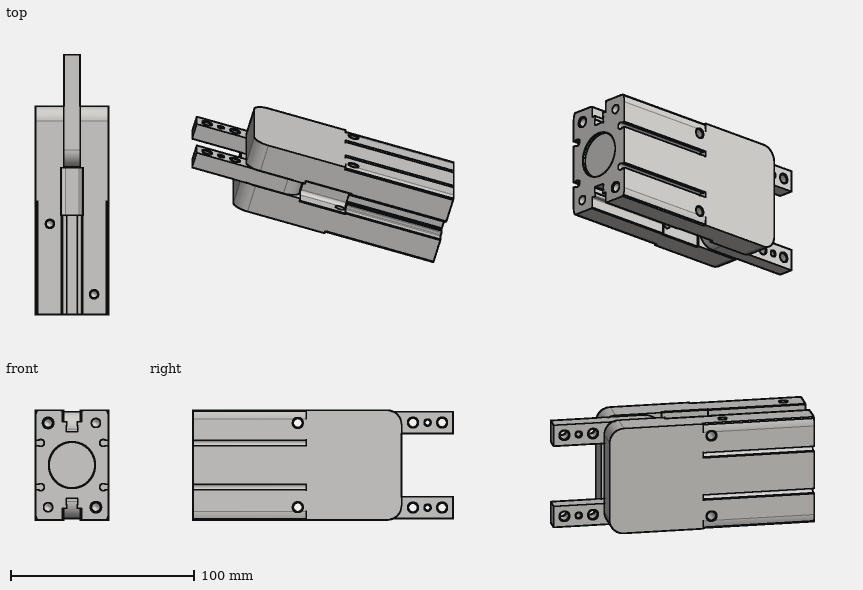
import cadquery as cq
import math


width = 40.0
height = 60.0
housing_length = 113.7
nose_radius = 8.0
half_width = width / 2
half_height = height / 2

rear_length = 61.7
side_curve_height = 4.7
edge_chamfer_height = 0.7
edge_chamfer_inset = 1.4
side_curve_inset = 0.7

sensor_slot_z = 12.0
sensor_slot_mouth = 3.0
sensor_slot_bore = 3.8
sensor_slot_bore_depth = 3.0

groove_width = 10.6
groove_shoulder_z = 23.7
groove_neck_width = 5.7
groove_neck_z = 21.5
groove_floor_width = 6.5
groove_floor_z = 18.2
groove_edge_chamfer = 0.4
groove_floor_chamfer = 0.4
groove_corner_radius = 0.4

pocket_start = 54.2
pocket_end = 80.1
pocket_width = 11.6
pocket_floor_z = 17.7
pocket_floor_radius = 2.3
pocket_chamfer = 0.4

hole_chamfer = 0.4
screw_diameter = 5.0
port_diameter = 4.1
dowel_diameter = 3.0
drill_point_angle = 118
end_hole_x = 13.0
end_hole_depth = 7.1
end_hole_chamfer = 0.5
hole_z = 23.0
side_hole_y = 57.1
port_x = 12.0
port_depth = 8.5
port_chamfer = 0.35
rear_port_y = 11.0
front_port_y = 49.5

cover_diameter = 25.0
cover_depth = 1.7
cover_chamfer = 0.3

finger_tip_y = 141.8
finger_heel_y = 80.5
finger_thickness = 9.0
finger_top_z = 29.2
finger_bottom_z = 17.2
finger_heel_radius = 9.4
finger_screw_inset = 6.0
finger_hole_pitch = 8.0


def drill(diameter, depth, start, direction, chamfer=0):
    """Blind hole with a conical bottom, from the start point along a direction in the YZ plane."""
    radius = diameter / 2
    point = radius / math.tan(math.radians(drill_point_angle / 2))
    outline = [(0, 0), (radius + chamfer, 0)]
    if chamfer:
        outline.append((radius, chamfer))
    outline += [(radius, depth), (0, depth + point)]
    across = cq.Vector(1, 0, 0)
    plane = cq.Plane(start, xDir=across, normal=across.cross(cq.Vector(*direction)))
    return cq.Workplane(plane).polyline(outline).close().revolve(360, (0, 0), (0, 1))


def through_hole_x(diameter, length, y, z):
    """Hole along X, centred on X = 0, chamfered at both ends of the given length."""
    radius = diameter / 2
    mouth = radius + hole_chamfer
    end = length / 2
    outline = [
        (0, -end),
        (mouth, -end),
        (radius, hole_chamfer - end),
        (radius, end - hole_chamfer),
        (mouth, end),
        (0, end),
    ]
    plane = cq.Plane((0, y, z), xDir=(0, 1, 0), normal=(0, 0, -1))
    return cq.Workplane(plane).polyline(outline).close().revolve(360, (0, 0), (0, 1))


def mirrored_z(shape):
    """The shape and its mirror image below Z = 0."""
    return shape, shape.mirror("XY")


def along_y(start):
    """XZ workplane at Y = start; a negative extrusion runs toward +Y."""
    return cq.Workplane("XZ", origin=(0, start, 0))


def edge_relief():
    """Material removed from the long edge at +X, +Z of the rear part."""
    curve_bottom = half_height - side_curve_height
    curve_top = half_height - edge_chamfer_height
    curve_rise = curve_top - curve_bottom
    tangent_radius = (curve_rise**2 + side_curve_inset**2) / (2 * side_curve_inset)
    return (
        along_y(0)
        .moveTo(half_width, curve_bottom)
        .radiusArc((half_width - side_curve_inset, curve_top), -tangent_radius)
        .lineTo(half_width - edge_chamfer_inset, half_height)
        .lineTo(half_width, half_height)
        .close()
        .extrude(-rear_length)
    )


def sensor_slot():
    """Keyhole slot in the +X side at positive Z."""
    bore_x = half_width - sensor_slot_bore_depth
    bore = along_y(0).center(bore_x, sensor_slot_z).circle(sensor_slot_bore / 2).extrude(-rear_length)
    mouth = (
        along_y(0)
        .center(half_width - sensor_slot_bore_depth / 2, sensor_slot_z)
        .rect(sensor_slot_bore_depth, sensor_slot_mouth)
        .extrude(-rear_length)
    )
    return bore.union(mouth)


def t_groove():
    """T groove in the top face, from the rear face to the pocket."""
    wall = groove_width / 2
    neck = groove_neck_width / 2
    floor = groove_floor_width / 2
    half = (
        along_y(0)
        .moveTo(0, half_height)
        .lineTo(wall + groove_edge_chamfer, half_height)
        .lineTo(wall, half_height - groove_edge_chamfer)
        .lineTo(wall, groove_shoulder_z + groove_corner_radius)
        .radiusArc((wall - groove_corner_radius, groove_shoulder_z), groove_corner_radius)
        .lineTo(neck + groove_corner_radius, groove_shoulder_z)
        .radiusArc((neck, groove_shoulder_z - groove_corner_radius), -groove_corner_radius)
        .lineTo(neck, groove_neck_z)
        .lineTo(floor, groove_neck_z)
        .lineTo(floor, groove_floor_z + groove_floor_chamfer)
        .lineTo(floor - groove_floor_chamfer, groove_floor_z)
        .lineTo(0, groove_floor_z)
        .close()
        .extrude(-pocket_start)
    )
    return half.union(half.mirror("YZ"))


def pocket():
    """Round-bottomed pocket in the top face, from the T groove to the finger slot."""
    wall = pocket_width / 2
    outline = [
        (-wall, pocket_floor_z),
        (wall, pocket_floor_z),
        (wall, half_height - pocket_chamfer),
        (wall + pocket_chamfer, half_height),
        (-wall - pocket_chamfer, half_height),
        (-wall, half_height - pocket_chamfer),
    ]
    return (
        along_y(pocket_start)
        .polyline(outline)
        .close()
        .extrude(pocket_start - pocket_end)
        .edges("|Y and <Z")
        .fillet(pocket_floor_radius)
    )


def cover_recess():
    """Shallow round recess with a chamfered mouth in the rear face."""
    radius = cover_diameter / 2
    outline = [
        (0, 0),
        (radius + cover_chamfer, 0),
        (radius, cover_chamfer),
        (radius, cover_depth),
        (0, cover_depth),
    ]
    return cq.Workplane("XY").polyline(outline).close().revolve(360, (0, 0), (0, 1))


def make_housing():
    body = (
        cq.Workplane("XY")
        .box(width, housing_length, height, centered=(True, False, True))
        .edges("|X and >Y")
        .fillet(nose_radius)
    )

    for cutter in (edge_relief(), sensor_slot()):
        for half in mirrored_z(cutter):
            body = body.cut(half).cut(half.mirror("YZ"))

    for cutter in (t_groove(), pocket()):
        for half in mirrored_z(cutter):
            body = body.cut(half)

    slot_length = housing_length - pocket_end
    slot = cq.Workplane("XY").box(finger_thickness, slot_length, height, centered=(True, False, True))
    body = body.cut(slot.translate((0, pocket_end, 0)))

    body = body.cut(cover_recess())

    for x_side in (-1, 1):
        for z_side in (-1, 1):
            chamfer = end_hole_chamfer if x_side != z_side else 0
            start = (x_side * end_hole_x, 0, z_side * hole_z)
            body = body.cut(drill(screw_diameter, end_hole_depth, start, (0, 1, 0), chamfer))

    for z in (-hole_z, hole_z):
        body = body.cut(through_hole_x(screw_diameter, width, side_hole_y, z))

    for x, y in ((-port_x, front_port_y), (port_x, rear_port_y)):
        body = body.cut(drill(port_diameter, port_depth, (x, y, half_height), (0, 0, -1), port_chamfer))
    return body


def make_finger():
    """Upper finger, with its rounded heel inside the housing slot."""
    length = finger_tip_y - finger_heel_y
    body = (
        cq.Workplane("XY")
        .box(finger_thickness, length, finger_top_z - finger_bottom_z, centered=(True, False, False))
        .translate((0, finger_heel_y, finger_bottom_z))
        .edges("|X and <Y and >Z")
        .fillet(finger_heel_radius)
    )
    middle_z = (finger_top_z + finger_bottom_z) / 2
    for i, diameter in enumerate((screw_diameter, dowel_diameter, screw_diameter)):
        hole_y = finger_tip_y - finger_screw_inset - i * finger_hole_pitch
        body = body.cut(through_hole_x(diameter, finger_thickness, hole_y, middle_z))
    return body


housing = make_housing()
fingers = mirrored_z(make_finger())

result = cq.Compound.makeCompound([housing.val(), *[finger.val() for finger in fingers]])